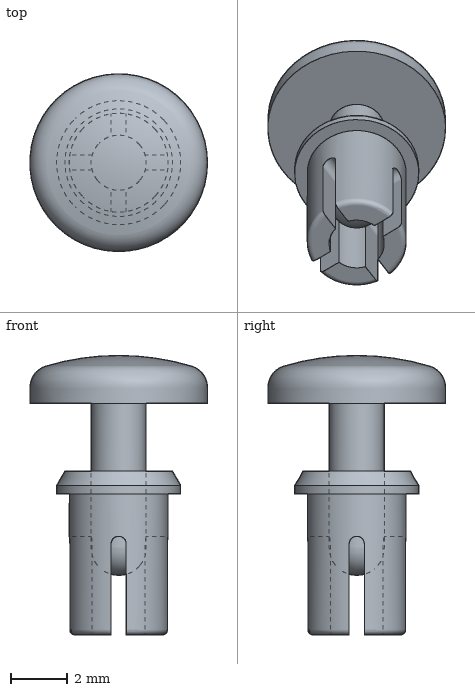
import cadquery as cq
import math

TOTAL_HEIGHT = 9.9
HEAD_DIAMETER = 6.3
SHANK_DIAMETER = 1.95
COLLAR_DIAMETER = 4.4
BARREL_DIAMETER = 3.5

HEAD_BOTTOM = 8.2
RIM_TOP = 8.75
DOME_EDGE_Z = 9.52
DOME_EDGE_RADIUS = 2.57

TIP_BOTTOM = 2.11

SLEEVE_TOP = 5.8
COLLAR_EDGE_TOP = 5.3
COLLAR_BOTTOM = 5.0
COLLAR_TOP_DIAMETER = 3.81
BARREL_END_FILLET = 0.19
SLOT_WIDTH = 0.53
SLOT_TOP = 3.49


def make_plunger():
    """Domed head and round-ended shank, revolved about the Z axis."""
    head_radius = HEAD_DIAMETER / 2
    shank_radius = SHANK_DIAMETER / 2
    tip_center_z = TIP_BOTTOM + shank_radius
    diagonal = shank_radius * math.sqrt(0.5)

    dome_rise = TOTAL_HEIGHT - DOME_EDGE_Z
    dome_radius = (DOME_EDGE_RADIUS**2 + dome_rise**2) / (2 * dome_rise)
    dome_mid_radius = DOME_EDGE_RADIUS / 2
    dome_drop = dome_radius - math.sqrt(dome_radius**2 - dome_mid_radius**2)

    return (
        cq.Workplane("XZ")
        .moveTo(0, TIP_BOTTOM)
        .threePointArc((diagonal, tip_center_z - diagonal), (shank_radius, tip_center_z))
        .lineTo(shank_radius, HEAD_BOTTOM)
        .lineTo(head_radius, HEAD_BOTTOM)
        .lineTo(head_radius, RIM_TOP)
        .tangentArcPoint((DOME_EDGE_RADIUS, DOME_EDGE_Z), relative=False)
        .threePointArc((dome_mid_radius, TOTAL_HEIGHT - dome_drop), (0, TOTAL_HEIGHT))
        .close()
        .revolve(360, (0, 0, 0), (0, 1, 0))
    )


def make_slot_cutter():
    """Round-topped slot through the barrel along Y, open at the bottom."""
    half_width = SLOT_WIDTH / 2
    arc_start_z = SLOT_TOP - half_width
    return (
        cq.Workplane("XZ")
        .moveTo(-half_width, 0)
        .lineTo(half_width, 0)
        .lineTo(half_width, arc_start_z)
        .threePointArc((0, SLOT_TOP), (-half_width, arc_start_z))
        .close()
        .extrude(BARREL_DIAMETER, both=True)
    )


def make_sleeve():
    """Collared barrel with a through bore and two crossing slots."""
    barrel = (
        cq.Workplane("XY")
        .circle(BARREL_DIAMETER / 2)
        .extrude(COLLAR_BOTTOM)
        .faces("<Z")
        .edges()
        .fillet(BARREL_END_FILLET)
    )
    collar = (
        cq.Workplane("XZ")
        .moveTo(0, COLLAR_BOTTOM)
        .lineTo(COLLAR_DIAMETER / 2, COLLAR_BOTTOM)
        .lineTo(COLLAR_DIAMETER / 2, COLLAR_EDGE_TOP)
        .lineTo(COLLAR_TOP_DIAMETER / 2, SLEEVE_TOP)
        .lineTo(0, SLEEVE_TOP)
        .close()
        .revolve(360, (0, 0, 0), (0, 1, 0))
    )
    bore = cq.Workplane("XY").circle(SHANK_DIAMETER / 2).extrude(SLEEVE_TOP)
    sleeve = barrel.union(collar).cut(bore)
    for angle in (0, 90):
        sleeve = sleeve.cut(make_slot_cutter().rotate((0, 0, 0), (0, 0, 1), angle))
    return sleeve


plunger = make_plunger()
sleeve = make_sleeve()

result = cq.Compound.makeCompound([plunger.val(), *sleeve.solids().vals()])